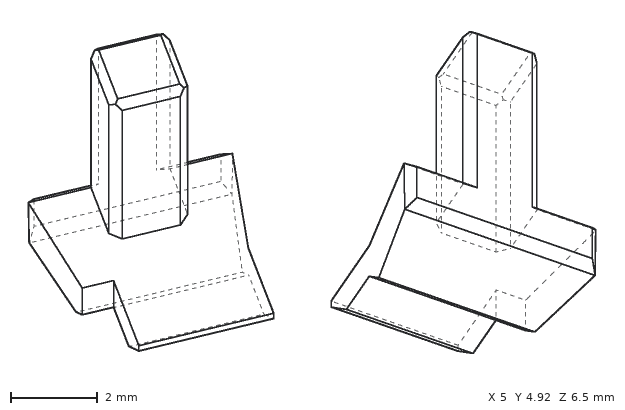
import cadquery as cq

base_length = 3.0
base_height = 1.5
front_half_width = 2.25
widest_half_width = 4.92 / 2
rear_half_width = 2.0
side_draft = 0.02
base_step = 0.5

overall_height = 6.5
post_size = 1.9
edge_chamfer = 0.25
post_top_chamfer = 0.2

overall_length = 5.0
tongue_depth = base_height - base_step
tongue_y_min = -1.25
tongue_y_max = rear_half_width
tongue_tip_height = 0.2


def flat_face(corners):
    return cq.Face.makeFromWires(cq.Wire.makePolygon(corners, close=True))


def stretched_face(corners):
    outline = cq.Wire.makePolygon(corners, close=True)
    return cq.Face.makeNSidedSurface(outline.Edges(), [])


def base_corners(side):
    """Corners of the base on one side: side is -1 for -Y and +1 for +Y."""
    positions = {
        "front_low": (0, front_half_width, edge_chamfer),
        "front_high": (0, front_half_width, base_height - edge_chamfer),
        "wide_low": (edge_chamfer, widest_half_width - side_draft, 0),
        "wide_high": (edge_chamfer, widest_half_width, base_height),
        "bevel_low": (base_length - base_step, rear_half_width, 0),
        "bevel_high": (base_length, rear_half_width, base_step),
        "rear_high": (base_length, rear_half_width, base_height),
    }
    return {name: cq.Vector(x, side * y, z) for name, (x, y, z) in positions.items()}


def make_base():
    left = base_corners(1)
    right = base_corners(-1)

    profile = [
        "front_low", "front_high", "wide_high", "rear_high", "bevel_high", "bevel_low", "wide_low",
    ]
    faces = []
    for start, end in zip(profile, profile[1:] + profile[:1]):
        faces.append(flat_face([right[start], right[end], left[end], left[start]]))

    side_outlines = [
        ["front_low", "front_high", "wide_high", "wide_low"],
        ["wide_low", "wide_high", "rear_high", "bevel_high", "bevel_low"],
    ]
    for corners in (left, right):
        for outline in side_outlines:
            faces.append(stretched_face([corners[name] for name in outline]))

    return cq.Workplane(cq.Solid.makeSolid(cq.Shell.makeShell(faces)))


def make_post():
    post_bottom = base_height - edge_chamfer
    square_bar = (
        cq.Workplane("XY", origin=(post_size / 2, 0, post_bottom))
        .rect(post_size, post_size)
        .extrude(overall_height - post_bottom)
    )
    bevelled_bar = square_bar.faces(">Z").chamfer(post_top_chamfer)
    octagonal_bar = square_bar.edges("|Z").chamfer(edge_chamfer)
    return bevelled_bar.intersect(octagonal_bar)


def make_tongue():
    tip_bevel = tongue_depth - tongue_tip_height
    profile = [
        (base_length, base_step),
        (overall_length - tip_bevel, base_step),
        (overall_length, base_height - tongue_tip_height),
        (overall_length, base_height),
        (base_length, base_height),
    ]
    return (
        cq.Workplane("XZ", origin=(0, tongue_y_max, 0))
        .polyline(profile)
        .close()
        .extrude(tongue_y_max - tongue_y_min)
    )


part = make_base().union(make_post()).union(make_tongue())
result = part.solids()